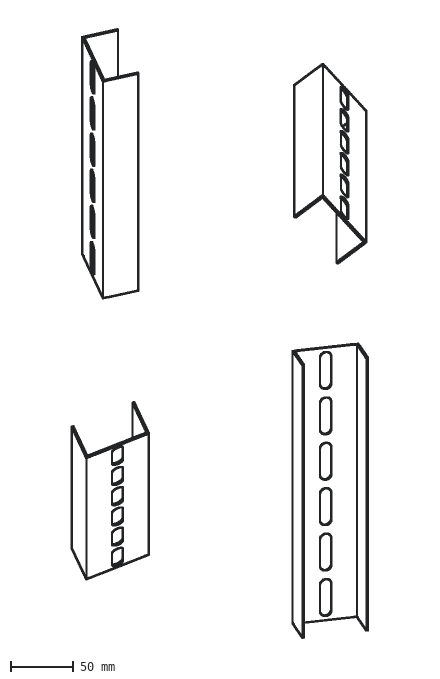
import cadquery as cq

length = 240.0
width = 55.0
depth = 30.0
wall = 1.5

slot_count = 6
slot_pitch = length / slot_count
slot_length = 32.5
slot_width = 9.5

relief_size = 3.0
relief_depth = 0.2


def channel():
    """U-shaped channel standing along Z, web on the -Y side and open toward +Y."""
    outer = cq.Workplane("XY").box(width, depth, length)
    hollow = cq.Workplane("XY").box(width - 2 * wall, depth, length).translate((0, wall, 0))
    return outer.cut(hollow)


def web_slots():
    """Upright round-ended cutters that pass through the web only."""
    web_face = cq.Workplane("XZ", origin=(0, -depth / 2, 0))
    return (
        web_face.rarray(2.5, slot_pitch, 1, slot_count)
        .slot2D(slot_length, slot_width, 90)
        .extrude(-wall)
    )


def bend_reliefs():
    """Square cutters at the web corners of the top and bottom end faces."""
    corners = [
        (side * width / 2, -depth / 2, end * length / 2)
        for side in (-1, 1)
        for end in (-1, 1)
    ]
    cutter = cq.Workplane("XY").box(2 * relief_size, 2 * relief_size, 2 * relief_depth).val()
    return cq.Workplane("XY").pushPoints(corners).eachpoint(lambda place: cutter.moved(place))


result = channel().cut(web_slots()).cut(bend_reliefs())